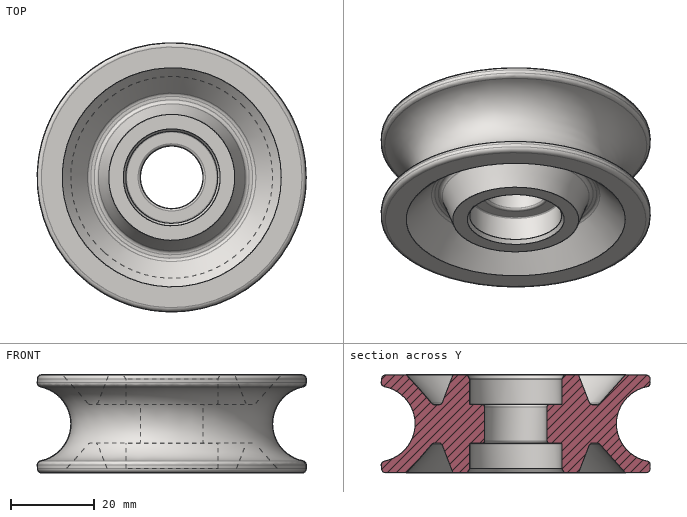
import cadquery as cq
import math

rim_radius = 32.05
width = 23.4
half_width = width / 2
edge_fillet = 1.0

neck_radius = 24.0
groove_radius = 9.0
groove_center = neck_radius + groove_radius
groove_half_opening = math.sqrt(groove_radius**2 - (groove_center - rim_radius) ** 2)

recess_depth = 7.1
recess_outer_top = 26.1
recess_outer_floor = 19.75
hub_top_radius = 15.0
hub_floor_radius = 17.75
recess_fillet = 1.0

seat_radius = 10.95
seat_depth = 7.05
seat_corner_fillet = 0.2
lead_in_width = 0.6
lead_in_depth = 1.0

bore_radius = 7.45
bore_fillet = 0.6


def revolve(profile):
    return profile.close().revolve(360, (0, 0, 0), (0, 1, 0))


def circle_edges(body, radius, height):
    """Select the circular edges of a given radius at +height and -height."""
    tolerance = 0.005

    def matches(edge):
        return (
            edge.geomType() == "CIRCLE"
            and abs(edge.radius() - radius) < tolerance
            and abs(abs(edge.Center().z) - height) < tolerance
        )

    return body.newObject([edge for edge in body.edges().vals() if matches(edge)])


def make_wheel():
    profile = (
        cq.Workplane("XZ")
        .moveTo(0, -half_width)
        .lineTo(rim_radius, -half_width)
        .lineTo(rim_radius, -groove_half_opening)
        .threePointArc((neck_radius, 0), (rim_radius, groove_half_opening))
        .lineTo(rim_radius, half_width)
        .lineTo(0, half_width)
    )
    wheel = revolve(profile)
    for height in (half_width, groove_half_opening):
        wheel = circle_edges(wheel, rim_radius, height).fillet(edge_fillet)
    return wheel


def make_recess():
    floor = half_width - recess_depth
    profile = (
        cq.Workplane("XZ")
        .moveTo(hub_top_radius, half_width)
        .lineTo(hub_floor_radius, floor)
        .lineTo(recess_outer_floor, floor)
        .lineTo(recess_outer_top, half_width)
    )
    return revolve(profile).faces("<Z").edges().fillet(recess_fillet)


def make_seat():
    floor = half_width - seat_depth
    profile = (
        cq.Workplane("XZ")
        .moveTo(0, floor)
        .lineTo(seat_radius, floor)
        .lineTo(seat_radius, half_width - lead_in_depth)
        .lineTo(seat_radius + lead_in_width, half_width)
        .lineTo(0, half_width)
    )
    return revolve(profile).faces("<Z").edges().fillet(seat_corner_fillet)


result = make_wheel()
for cutter in (make_recess(), make_seat()):
    result = result.cut(cutter).cut(cutter.mirror("XY"))

bore = cq.Workplane("XY").circle(bore_radius).extrude(half_width, both=True)
result = result.cut(bore)
result = circle_edges(result, bore_radius, half_width - seat_depth).fillet(bore_fillet)